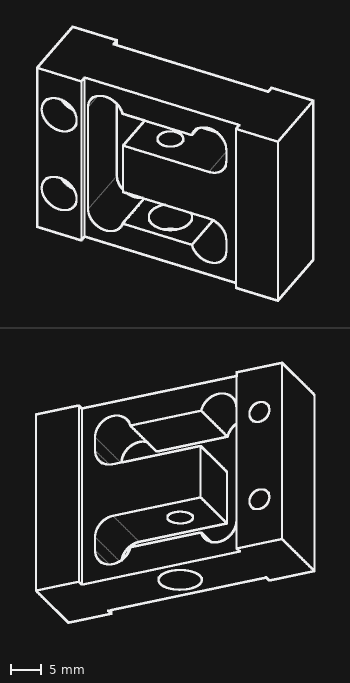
import cadquery as cq

length = 44.2
thickness = 12.7
height = 32.3

left_pad_width = 8.15
right_pad_width = 7.7
recess_depth = 1.2

window_left = 8.75
window_right = 34.12
tongue_half_height = 4.75
slot_height = 6.4
slot_radius = slot_height / 2
tongue_tip = window_left + slot_height
slot_outer = tongue_half_height + slot_height
relief_top = 13.55
relief_z = relief_top - slot_radius
left_relief_x = window_left + slot_radius
right_relief_x = window_right - slot_radius

mount_x = left_pad_width / 2
mount_spacing = 16.0
mount_diameter = 3.6
counterbore_diameter = slot_height
counterbore_depth = 6.0

load_hole_x = 21.2
load_hole_diameter = 4.2
access_diameter = 7.05


def box(x_min, x_max, y_min, y_max, z_min, z_max):
    """Box between the given limits."""
    size = (x_max - x_min, y_max - y_min, z_max - z_min)
    return cq.Workplane("XY").box(*size, centered=False).translate((x_min, y_min, z_min))


def window_box(x_min, x_max, z_min, z_max):
    """Rectangular part of the window, through the full thickness."""
    return box(x_min, x_max, -thickness / 2, thickness / 2, z_min, z_max)


def cross_cylinder(x, z, diameter, depth):
    """Cylinder running from the front face (-Y) towards +Y."""
    front = cq.Workplane("XZ", origin=(x, -thickness / 2, z))
    return front.circle(diameter / 2).extrude(-depth)


def vertical_cylinder(diameter, z_min, z_max):
    """Cylinder on the vertical axis through the tongue."""
    base = cq.Workplane("XY", origin=(load_hole_x, 0, z_min))
    return base.circle(diameter / 2).extrude(z_max - z_min)


def make_body():
    """Block with the recesses between its end pads."""
    body = cq.Workplane("XY").box(length, thickness, height).translate((length / 2, 0, 0))
    recess_size = (length - left_pad_width - right_pad_width, recess_depth, height)
    recess_x = left_pad_width + recess_size[0] / 2
    for side in (-1, 1):
        recess_y = side * (thickness - recess_depth) / 2
        body = body.cut(cq.Workplane("XY").box(*recess_size).translate((recess_x, recess_y, 0)))
    return body


def make_window():
    """Two horizontal slots with round reliefs, joined at the tongue tip."""
    window = window_box(window_left, tongue_tip, -relief_z, relief_z)
    inner_round_z = tongue_half_height + slot_radius
    for side in (-1, 1):
        slot_z = sorted((side * tongue_half_height, side * slot_outer))
        window = window.union(window_box(left_relief_x, right_relief_x, *slot_z))
        end_z = sorted((side * inner_round_z, side * relief_z))
        window = window.union(window_box(right_relief_x, window_right, *end_z))
        round_centres = (
            (left_relief_x, relief_z),
            (right_relief_x, relief_z),
            (right_relief_x, inner_round_z),
        )
        for x, z in round_centres:
            window = window.union(cross_cylinder(x, side * z, slot_height, thickness))
    return window


def cut_mount_holes(body):
    """Two through holes, counterbored from the front face."""
    for z in (-mount_spacing / 2, mount_spacing / 2):
        body = body.cut(cross_cylinder(mount_x, z, mount_diameter, thickness))
        body = body.cut(cross_cylinder(mount_x, z, counterbore_diameter, counterbore_depth))
    return body


def cut_load_holes(body):
    """Hole through the tongue and access hole through the lower beam."""
    body = body.cut(vertical_cylinder(load_hole_diameter, -tongue_half_height, tongue_half_height))
    return body.cut(vertical_cylinder(access_diameter, -height / 2, -tongue_half_height))


result = make_body().cut(make_window())
result = cut_mount_holes(result)
result = cut_load_holes(result)